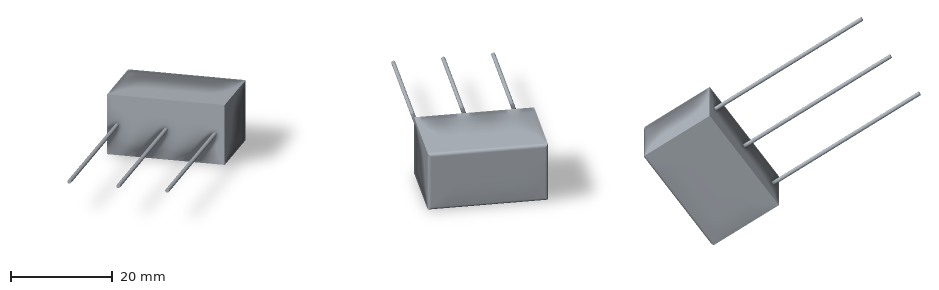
import cadquery as cq

total_length = 51.0
case_width = 24.0
case_depth = 15.95
case_height = 12.5
back_edge_radius = 0.6

lead_diameter = 0.8
lead_pitch = 10.0
lead_count = 3
lead_length = total_length - case_depth


def make_case():
    """Box from the lead face at Y = 0 to the back face, whose four edges are rounded."""
    box = cq.Workplane("XY").box(case_width, case_depth, case_height, centered=(True, False, True))
    return box.faces(">Y").edges().fillet(back_edge_radius)


def make_lead(x):
    """Round wire that starts on the lead face of the case and runs toward -Y."""
    lead_face = cq.Workplane("XZ")
    return lead_face.center(x, 0).circle(lead_diameter / 2).extrude(lead_length)


case = make_case()

leads = []
for index in range(lead_count):
    lead_x = (index - (lead_count - 1) / 2) * lead_pitch
    leads.append(make_lead(lead_x))

result = cq.Compound.makeCompound([case.val(), *[lead.val() for lead in leads]])